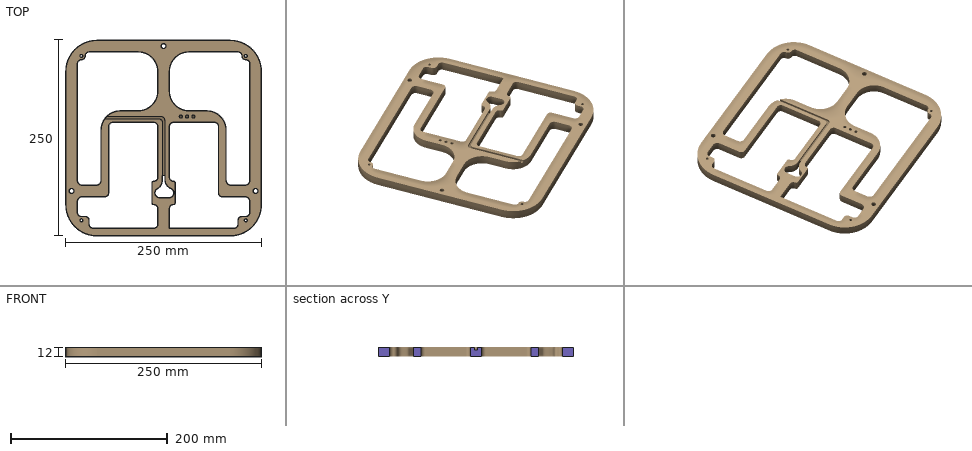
import cadquery as cq
import math

SIDE = 250.0
THICKNESS = 12.0
OUTER_RADIUS = 40.0

HALF = SIDE / 2
RAIL = 15.0
BOTTOM_RAIL = 10.0
INNER = HALF - RAIL
INNER_BOTTOM = -HALF + BOTTOM_RAIL
COLUMN_HALF = RAIL / 2

CROSSBAR_TOP = 35.0
CROSSBAR_BOTTOM = CROSSBAR_TOP - RAIL
CROSSBAR_MIDDLE = (CROSSBAR_TOP + CROSSBAR_BOTTOM) / 2
ARM_OUTER = 80.0
ARM_INNER = 70.0
FOOT_TOP = -60.0
FOOT_BOTTOM = FOOT_TOP - RAIL
FOOT_MIDDLE = (FOOT_TOP + FOOT_BOTTOM) / 2

LARGE_RADIUS = 25.0
FOOT_RADIUS = 6.0
SMALL_RADIUS = 5.0
HUB_RADIUS = 2.5
SHARP = 0.0

HUB_HALF = 15.0
HUB_Y = -70.0

SCREW_DIAMETER = 3.5
SCREW_OFFSET = 105.0
LUG_OVERHANG = 5.0
LUG_EDGE = SCREW_OFFSET - LUG_OVERHANG
LOWER_LUG_X = 95.0

MOUNT_DIAMETER = 6.0
MOUNT_OFFSET = HALF - RAIL / 2

INDICATOR_DIAMETER = 4.0
INDICATOR_DEPTH = 10.0
INDICATOR_FIRST_X = 22.0
INDICATOR_PITCH = 8.0
INDICATOR_COUNT = 3

GROOVE_WIDTH = 3.0
GROOVE_DEPTH = 3.0
GROOVE_TOP = CROSSBAR_MIDDLE
GROOVE_CORNER_RADIUS = 4.5

THROAT_TOP = -48.0
SLOT_CENTER_X = 1.0
SLOT_HALF_SPAN = 6.0
SLOT_RADIUS = 6.0
FLARE_RADIUS = 13.0

NEGLIGIBLE = 1e-6


def rounded_outline(corners):
    """Closed wire through (x, y, radius) corners, each rounded by a tangent arc."""
    stretches = []
    for i, (x, y, radius) in enumerate(corners):
        before = cq.Vector(*corners[i - 1][:2])
        after = cq.Vector(*corners[(i + 1) % len(corners)][:2])
        corner = cq.Vector(x, y)
        to_before = (before - corner).normalized()
        to_after = (after - corner).normalized()
        half_angle = to_before.getAngle(to_after) / 2
        setback = radius / math.tan(half_angle)
        bisector = (to_before + to_after).normalized()
        apex = corner + bisector * (radius / math.sin(half_angle) - radius)
        stretches.append((corner + to_before * setback, apex, corner + to_after * setback))

    edges = []
    for i, (start, apex, end) in enumerate(stretches):
        previous_end = stretches[i - 1][2]
        if (start - previous_end).Length > NEGLIGIBLE:
            edges.append(cq.Edge.makeLine(previous_end, start))
        if (end - start).Length > NEGLIGIBLE:
            edges.append(cq.Edge.makeThreePointArc(start, apex, end))
    return cq.Wire.assembleEdges(edges)


def prism(wire, bottom=0.0):
    """Solid from a flat outline, reaching from the bottom height to the top face."""
    face = cq.Workplane("XY").add(wire).toPending()
    return face.extrude(THICKNESS - bottom).translate((0, 0, bottom))


def upper_window(side):
    """Window above and outside the bridge; side is -1 for left, 1 for right."""
    corners = [
        (LUG_EDGE, INNER, SMALL_RADIUS),
        (COLUMN_HALF, INNER, LARGE_RADIUS),
        (COLUMN_HALF, CROSSBAR_TOP, LARGE_RADIUS),
        (ARM_OUTER, CROSSBAR_TOP, LARGE_RADIUS),
        (ARM_OUTER, FOOT_TOP, FOOT_RADIUS),
        (INNER, FOOT_TOP, FOOT_RADIUS),
        (INNER, LUG_EDGE, SMALL_RADIUS),
        (LUG_EDGE, LUG_EDGE, SMALL_RADIUS),
    ]
    return prism(rounded_outline([(side * x, y, r) for x, y, r in corners]))


def lower_window(side, column_foot_radius):
    """Window under the bridge, stepping round the hub and the lower lug."""
    corners = [
        (ARM_INNER, CROSSBAR_BOTTOM, SMALL_RADIUS),
        (COLUMN_HALF, CROSSBAR_BOTTOM, SMALL_RADIUS),
        (COLUMN_HALF, HUB_Y + HUB_HALF, SMALL_RADIUS),
        (HUB_HALF, HUB_Y + HUB_HALF, HUB_RADIUS),
        (HUB_HALF, HUB_Y - HUB_HALF, HUB_RADIUS),
        (COLUMN_HALF, HUB_Y - HUB_HALF, SMALL_RADIUS),
        (COLUMN_HALF, INNER_BOTTOM, column_foot_radius),
        (LOWER_LUG_X, INNER_BOTTOM, SMALL_RADIUS),
        (LOWER_LUG_X, -LUG_EDGE, SMALL_RADIUS),
        (INNER, -LUG_EDGE, SMALL_RADIUS),
        (INNER, FOOT_BOTTOM, FOOT_RADIUS),
        (ARM_INNER, FOOT_BOTTOM, SMALL_RADIUS),
    ]
    return prism(rounded_outline([(side * x, y, r) for x, y, r in corners]))


def wire_groove():
    """Shallow L-shaped channel from the left arm to the top of the throat."""
    half = GROOVE_WIDTH / 2
    groove_bottom = GROOVE_TOP - GROOVE_WIDTH
    corners = [
        (-ARM_OUTER, GROOVE_TOP, SHARP),
        (half, GROOVE_TOP, GROOVE_CORNER_RADIUS),
        (half, THROAT_TOP, SHARP),
        (-half, THROAT_TOP, SHARP),
        (-half, groove_bottom, GROOVE_CORNER_RADIUS),
        (-ARM_OUTER, groove_bottom, SHARP),
    ]
    return prism(rounded_outline(corners), THICKNESS - GROOVE_DEPTH)


def flare(side):
    """Start, middle and end of the arc from one throat wall to the slot end on that side."""
    throat_x = side * GROOVE_WIDTH / 2
    slot_x = SLOT_CENTER_X + side * SLOT_HALF_SPAN
    center_x = throat_x + side * FLARE_RADIUS
    reach = FLARE_RADIUS + SLOT_RADIUS
    center_y = HUB_Y + math.sqrt(reach**2 - (center_x - slot_x) ** 2)
    center = cq.Vector(center_x, center_y)
    start = cq.Vector(throat_x, center_y)
    to_slot = (cq.Vector(slot_x, HUB_Y) - center).normalized()
    end = center + to_slot * FLARE_RADIUS
    to_middle = (to_slot + cq.Vector(-side, 0)).normalized()
    return start, center + to_middle * FLARE_RADIUS, end


def hub_opening():
    """Through opening bounded by throat walls, flares and the rounded slot."""
    half = GROOVE_WIDTH / 2
    slot_bottom = HUB_Y - SLOT_RADIUS
    slot_left = SLOT_CENTER_X - SLOT_HALF_SPAN
    slot_right = SLOT_CENTER_X + SLOT_HALF_SPAN
    left_start, left_middle, left_end = flare(-1)
    right_start, right_middle, right_end = flare(1)
    outline = (
        cq.Workplane("XY")
        .moveTo(-half, THROAT_TOP)
        .lineTo(half, THROAT_TOP)
        .lineTo(right_start.x, right_start.y)
        .threePointArc(right_middle.toTuple()[:2], right_end.toTuple()[:2])
        .threePointArc((slot_right + SLOT_RADIUS, HUB_Y), (slot_right, slot_bottom))
        .lineTo(slot_left, slot_bottom)
        .threePointArc((slot_left - SLOT_RADIUS, HUB_Y), left_end.toTuple()[:2])
        .threePointArc(left_middle.toTuple()[:2], left_start.toTuple()[:2])
        .close()
    )
    return outline.extrude(THICKNESS)


def holes(points, diameter, depth):
    """Round holes sunk from the top face."""
    drill = cq.Workplane("XY").workplane(offset=THICKNESS - depth)
    return drill.pushPoints(points).circle(diameter / 2).extrude(depth)


screw_points = [(sx * SCREW_OFFSET, sy * SCREW_OFFSET) for sx in (-1, 1) for sy in (-1, 1)]
mount_points = [(0, MOUNT_OFFSET), (-MOUNT_OFFSET, FOOT_MIDDLE), (MOUNT_OFFSET, FOOT_MIDDLE)]
indicator_points = [
    (INDICATOR_FIRST_X + i * INDICATOR_PITCH, CROSSBAR_MIDDLE) for i in range(INDICATOR_COUNT)
]

plate = cq.Workplane("XY").rect(SIDE, SIDE).extrude(THICKNESS).edges("|Z").fillet(OUTER_RADIUS)
for side in (-1, 1):
    plate = plate.cut(upper_window(side))
plate = plate.cut(lower_window(-1, SMALL_RADIUS))
plate = plate.cut(lower_window(1, SHARP))
plate = plate.cut(wire_groove())
plate = plate.cut(hub_opening())
plate = plate.cut(holes(screw_points, SCREW_DIAMETER, THICKNESS))
plate = plate.cut(holes(mount_points, MOUNT_DIAMETER, THICKNESS))
plate = plate.cut(holes(indicator_points, INDICATOR_DIAMETER, INDICATOR_DEPTH))

result = plate